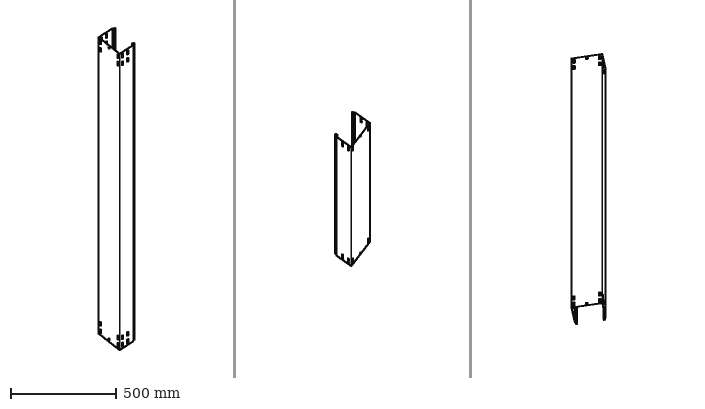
import cadquery as cq

WIDTH = 150.0
DEPTH = 100.0
LENGTH = 2000.0
SHEET = 1.5

LIP_INSET = 5.0
LIP_JOG_HEIGHT = 4.5
LIP_STRAIGHT = 7.0
LIP_TOP_WIDTH = 5.0
LIP_RETURN = 11.0

SLOT_PITCH = 50.0
SLOT_END_DISTANCES = (SLOT_PITCH / 2, SLOT_PITCH * 3 / 2)
NARROW_SLOT_WIDTH = 7.5
WIDE_SLOT_WIDTH = 9.0
SLOT_STRAIGHT = 18.0
SLOT_LENGTH = SLOT_STRAIGHT + NARROW_SLOT_WIDTH

BASE_SLOT_EDGE_DISTANCE = 13.0
WALL_NARROW_SLOT_HEIGHT = 18.0
WALL_WIDE_SLOT_HEIGHT = 52.0

BASE_HOLE_END_DISTANCE = 17.0
BASE_HOLE_DIAMETER = 9.0

half_width = WIDTH / 2
base_y = -DEPTH / 2
top_y = DEPTH / 2


def half_centre_line():
    """Sheet centre line from the middle of the base to the lip end, on the +X side."""
    wall_x = half_width - SHEET / 2
    lip_x = wall_x - LIP_INSET
    hook_x = lip_x - LIP_TOP_WIDTH
    fold_y = top_y - SHEET / 2
    jog_top_y = fold_y - LIP_STRAIGHT
    return [
        (wall_x, base_y + SHEET / 2),
        (wall_x, jog_top_y - LIP_JOG_HEIGHT),
        (lip_x, jog_top_y),
        (lip_x, fold_y),
        (hook_x, fold_y),
        (hook_x, top_y - LIP_RETURN),
    ]


def make_channel():
    """Bent sheet profile, symmetric about the YZ plane, extruded along Z."""
    right = half_centre_line()
    left = [(-x, y) for x, y in reversed(right)]
    centre_line = cq.Workplane("XY").polyline(left + right)
    return centre_line.offset2D(SHEET / 2, "intersection").extrude(LENGTH)


def from_both_ends(distances):
    """Heights along Z at the given distances from the bottom and from the top."""
    return [z for d in distances for z in (d, LENGTH - d)]


def make_wall_slots(width, y):
    """Cutter for upright slots passing through both side walls."""
    points = [(y, z) for z in from_both_ends(SLOT_END_DISTANCES)]
    plane = cq.Workplane("YZ").pushPoints(points)
    return plane.slot2D(SLOT_LENGTH, width, 90).extrude(half_width, both=True)


def make_base_slots():
    """Cutter for upright slots through the base, near its two long edges."""
    slot_x = half_width - BASE_SLOT_EDGE_DISTANCE
    points = [(x, z) for x in (-slot_x, slot_x) for z in from_both_ends(SLOT_END_DISTANCES)]
    plane = cq.Workplane("XZ", origin=(0, base_y, 0)).pushPoints(points)
    return plane.slot2D(SLOT_LENGTH, NARROW_SLOT_WIDTH, 90).extrude(SHEET, both=True)


def make_base_holes():
    """Cutter for the round hole on the base centre line at each end."""
    points = [(0, z) for z in from_both_ends([BASE_HOLE_END_DISTANCE])]
    plane = cq.Workplane("XZ", origin=(0, base_y, 0)).pushPoints(points)
    return plane.circle(BASE_HOLE_DIAMETER / 2).extrude(SHEET, both=True)


result = (
    make_channel()
    .cut(make_wall_slots(NARROW_SLOT_WIDTH, base_y + WALL_NARROW_SLOT_HEIGHT))
    .cut(make_wall_slots(WIDE_SLOT_WIDTH, base_y + WALL_WIDE_SLOT_HEIGHT))
    .cut(make_base_slots())
    .cut(make_base_holes())
)